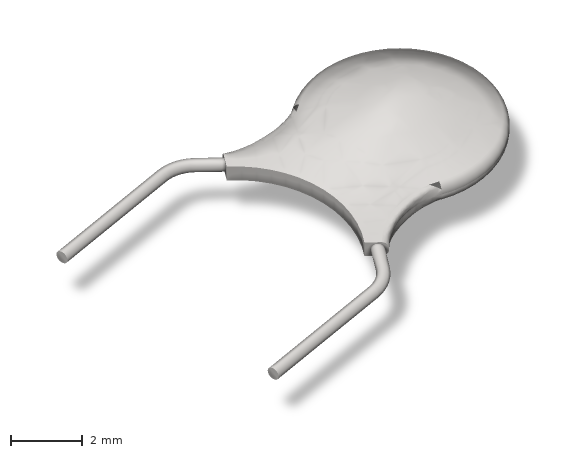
import cadquery as cq
import math

disc_radius = 3.05
neck_radius = 2.38
neck_start_angle = 28.0
neck_end_angle = 41.0
foot_width = 0.69
base_arc_top = -3.58

rim_inset = 0.2
disc_rim_height = 0.33
foot_height = 0.258
dome_height = 1.195

dome_flank_x = 1.19
dome_flank_z = 0.91
dome_crest = [
    (0, 1.77, 0.82),
    (0, 0.9, 1.1),
    (0, 0, dome_height),
    (0, -0.79, 1.1),
    (0, -1.59, 0.87),
    (0, -2.59, 0.53),
]
dome_points = dome_crest + [(side * dome_flank_x, 0, dome_flank_z) for side in (-1, 1)]

overall_length = 13.21
lead_diameter = 0.4
lead_x = 3.8
lead_tip_y = disc_radius - overall_length
bend_end_y = -5.79
bend_radius = 1.24
lead_tilt_angle = 49.0
lead_embed = 0.26

neck_start = math.radians(neck_start_angle)
neck_end = math.radians(neck_end_angle)
lead_tilt = math.radians(lead_tilt_angle)
neck_centre_x = (disc_radius + neck_radius) * math.cos(neck_start)
neck_centre_y = -(disc_radius + neck_radius) * math.sin(neck_start)


def disc_point(inset, angle, height):
    """Point on the disc, inset from its edge; the angle is counter-clockwise from +X."""
    radius = disc_radius - inset
    return cq.Vector(radius * math.cos(angle), radius * math.sin(angle), height)


def neck_point(side, inset, angle, height):
    """Point on a neck; the angle runs from -neck_start at the disc to +neck_end at the foot."""
    radius = neck_radius + inset
    x = neck_centre_x - radius * math.cos(angle)
    y = neck_centre_y - radius * math.sin(angle)
    return cq.Vector(side * x, y, height)


def rounded_section(point_at, height):
    """Rim cross-section rising from the outer edge to the inset edge of the dome."""
    diagonal = math.sqrt(0.5)
    middle = point_at(rim_inset * (1 - diagonal), height * diagonal)
    return cq.Edge.makeThreePointArc(point_at(0, 0), middle, point_at(rim_inset, height))


def neck_edge(side, inset, start_height, end_height):
    middle_angle = (neck_end - neck_start) / 2
    return cq.Edge.makeThreePointArc(
        neck_point(side, inset, -neck_start, start_height),
        neck_point(side, inset, middle_angle, (start_height + end_height) / 2),
        neck_point(side, inset, neck_end, end_height),
    )


def disc_edge(inset, height):
    return cq.Edge.makeThreePointArc(
        disc_point(inset, -neck_start, height),
        disc_point(inset, math.pi / 2, height),
        disc_point(inset, math.pi + neck_start, height),
    )


def base_edge(height):
    return cq.Edge.makeThreePointArc(
        neck_point(-1, foot_width, neck_end, height),
        cq.Vector(0, base_arc_top, height),
        neck_point(1, foot_width, neck_end, height),
    )


def foot_edge(side, inset, height):
    start = neck_point(side, inset, neck_end, height)
    return cq.Edge.makeLine(start, neck_point(side, foot_width, neck_end, height))


def flat_face(edges):
    return cq.Face.makeFromWires(cq.Wire.assembleEdges(edges))


def side_faces(side):
    """Rounded neck rim and flat foot end on one side."""
    disc_section = rounded_section(
        lambda inset, height: neck_point(side, inset, -neck_start, height), disc_rim_height)
    foot_section = rounded_section(
        lambda inset, height: neck_point(side, inset, neck_end, height), foot_height)
    neck_bottom = neck_edge(side, 0, 0, 0)
    neck_top = neck_edge(side, rim_inset, disc_rim_height, foot_height)
    neck_rim = cq.Face.makeNSidedSurface([neck_bottom, foot_section, neck_top, disc_section], [])

    foot_top = foot_edge(side, rim_inset, foot_height)
    foot_bottom = foot_edge(side, 0, 0)
    foot_corner = cq.Edge.makeLine(foot_top.endPoint(), foot_bottom.endPoint())
    foot_end = flat_face([foot_section, foot_top, foot_corner, foot_bottom])
    return [neck_rim, foot_end]


def outline_edges(inset, start_height, end_height):
    """Closed outline whose height changes along the necks, from the disc to the feet."""
    edges = [disc_edge(inset, start_height), base_edge(end_height)]
    for side in (-1, 1):
        edges.append(neck_edge(side, inset, start_height, end_height))
        edges.append(foot_edge(side, inset, end_height))
    return edges


def make_body():
    """Coated body, symmetric about the middle plane."""
    dome_edges = outline_edges(rim_inset, disc_rim_height, foot_height)
    dome = cq.Face.makeNSidedSurface(dome_edges, [cq.Vector(*point) for point in dome_points])
    middle_face = flat_face(outline_edges(0, 0, 0))
    base_wall = cq.occ_impl.shapes.extrude(base_edge(0), (0, 0, foot_height))

    section = rounded_section(
        lambda inset, height: disc_point(inset, -neck_start, height), disc_rim_height)
    disc_arc = 180 + 2 * neck_start_angle
    disc_rim = cq.occ_impl.shapes.revolve(section, (0, 0, 0), (0, 0, 1), disc_arc)

    faces = [dome, middle_face, base_wall, disc_rim] + side_faces(-1) + side_faces(1)
    upper_half = cq.Workplane(cq.Solid.makeSolid(cq.Shell.makeShell(faces)))
    return upper_half.union(upper_half.mirror("XY"))


def make_lead(side):
    """Round wire: straight out of the foot, one bend, then straight along -Y."""
    direction = cq.Vector(math.sin(lead_tilt), -math.cos(lead_tilt), 0)
    bend_centre = cq.Vector(lead_x - bend_radius, bend_end_y, 0)
    bend_start = bend_centre + cq.Vector(math.cos(lead_tilt), math.sin(lead_tilt), 0) * bend_radius
    bend_middle = bend_centre + cq.Vector(
        math.cos(lead_tilt / 2), math.sin(lead_tilt / 2), 0) * bend_radius

    foot_corner = neck_point(1, 0, neck_end, 0)
    straight_length = (bend_start - foot_corner).dot(direction)
    wire_start = bend_start - direction * (straight_length + lead_embed)

    path = (
        cq.Workplane("XY")
        .moveTo(wire_start.x, wire_start.y)
        .lineTo(bend_start.x, bend_start.y)
        .threePointArc((bend_middle.x, bend_middle.y), (lead_x, bend_end_y))
        .lineTo(lead_x, lead_tip_y)
    )
    start_plane = cq.Plane(origin=wire_start, xDir=(0, 0, 1), normal=direction)
    lead = cq.Workplane(start_plane).circle(lead_diameter / 2).sweep(path)
    return lead if side > 0 else lead.mirror("YZ")


result = make_body().union(make_lead(-1)).union(make_lead(1))